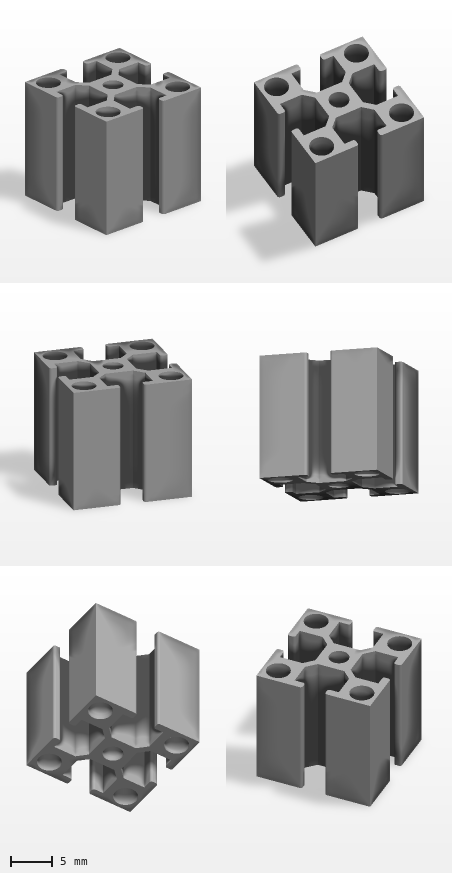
import cadquery as cq

side = 15.0
length = 15.0

mouth_width = 3.0
lip_thickness = 1.0
lip_radius = 0.3
slot_width = 5.82
floor_width = 3.48
core_width = 4.65

center_bore = 2.5
corner_bore = 3.0
corner_bore_inset = 2.0

half_side = side / 2
lip_inner = half_side - lip_thickness
slot_bottom = core_width / 2
taper_depth = (slot_width - floor_width) / 2
taper_top = slot_bottom + taper_depth


def slot_cutter(angle):
    """T-slot open toward +Y, turned about Z by the given angle."""
    right_half = [
        (mouth_width / 2, half_side),
        (mouth_width / 2, lip_inner),
        (slot_width / 2, lip_inner),
        (slot_width / 2, taper_top),
        (floor_width / 2, slot_bottom),
    ]
    left_half = [(-x, y) for x, y in reversed(right_half)]
    cutter = cq.Workplane("XY").polyline(right_half + left_half).close().extrude(length)
    return cutter.rotate((0, 0, 0), (0, 0, 1), angle)


def lip_edges(body):
    """Select the long edges on both sides of every slot lip tip."""
    edges = body.edges("|Z")
    tolerance = 0.002
    half_mouth = mouth_width / 2

    def is_lip_edge(edge):
        point = edge.Center()
        near, far = sorted((abs(point.x), abs(point.y)))
        return abs(near - half_mouth) < tolerance and far > lip_inner - tolerance

    return edges.filter(is_lip_edge)


body = cq.Workplane("XY").rect(side, side).extrude(length)
for angle in (0, 90, 180, 270):
    body = body.cut(slot_cutter(angle))
body = lip_edges(body).fillet(lip_radius)

bore_spacing = side - 2 * corner_bore_inset
center_cutter = cq.Workplane("XY").circle(center_bore / 2).extrude(length)
corner_cutters = (
    cq.Workplane("XY")
    .rect(bore_spacing, bore_spacing, forConstruction=True)
    .vertices()
    .circle(corner_bore / 2)
    .extrude(length)
)
result = body.cut(center_cutter).cut(corner_cutters)